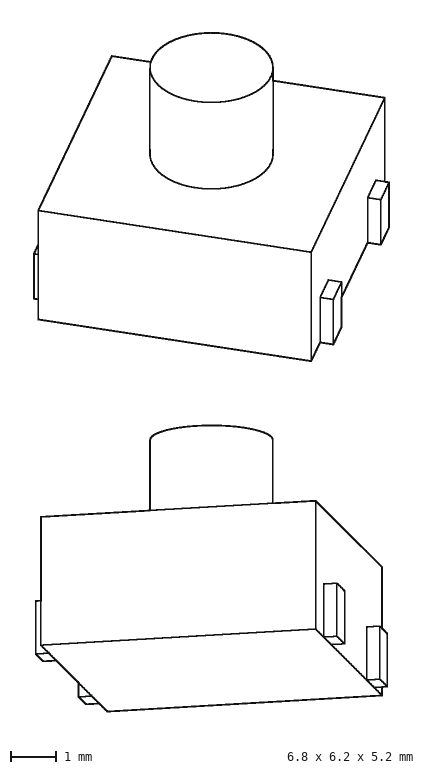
import cadquery as cq

housing_side = 6.2
housing_height = 2.9

button_diameter = 2.7
overall_height = 5.2
button_height = overall_height - housing_height

overall_length = 6.8
terminal_thickness = (overall_length - housing_side) / 2
terminal_width = 0.7
terminal_height = 1.2
terminal_pitch = 4.0

on_base = (True, True, False)


def make_housing():
    return cq.Workplane("XY").box(housing_side, housing_side, housing_height, centered=on_base)


def make_button():
    housing_top = cq.Workplane("XY").workplane(offset=housing_height)
    return housing_top.circle(button_diameter / 2).extrude(button_height)


def make_terminal(x_side, y_side):
    """One terminal; x_side and y_side are -1 or +1 and choose its corner."""
    x_center = x_side * (housing_side + terminal_thickness) / 2
    y_center = y_side * terminal_pitch / 2
    terminal = cq.Workplane("XY").box(terminal_thickness, terminal_width, terminal_height, centered=on_base)
    return terminal.translate((x_center, y_center, 0))


housing = make_housing()
button = make_button()
terminals = [make_terminal(x_side, y_side) for x_side in (-1, 1) for y_side in (-1, 1)]

result = cq.Compound.makeCompound(
    [housing.val(), button.val(), *[terminal.val() for terminal in terminals]]
)